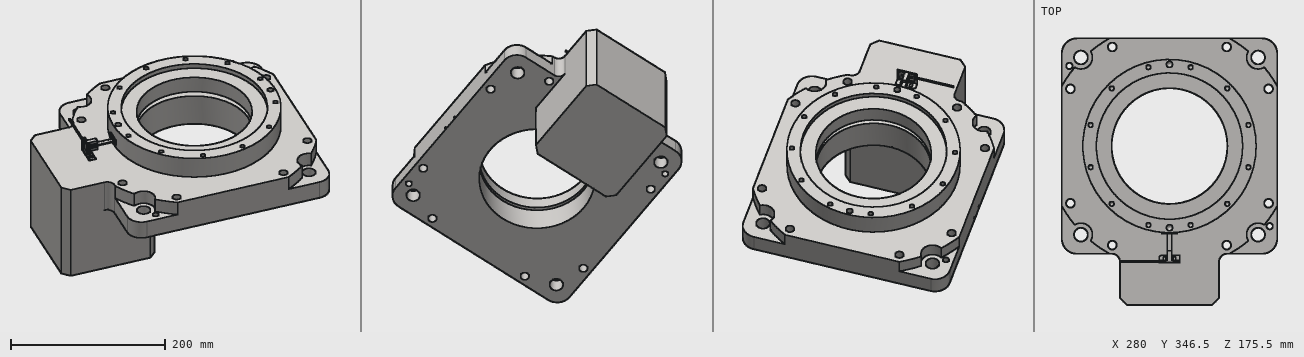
import cadquery as cq
import math


plate_size = 280.0
plate_thickness = 45.0
plate_corner_radius = 20.0
bore_diameter = 150.0

motor_width = 129.0
motor_length = 130.0
motor_front_y = -206.5
motor_height = 138.5
motor_chamfer = 9.5
neck_fillet = 10.0

corner_hole_offset = 115.0
corner_hole_diameter = 17.5
corner_pocket_radius = 15.0
corner_step_radius = 160.0
corner_step_depth = 19.5

mount_circle_radius = 148.5
mount_hole_diameter = 11.0
mount_hole_angle = 30.0
dowel_x = 130.0
dowel_y = 104.0
dowel_diameter = 8.0

side_hole_diameter = 2.0
side_hole_depth = 8.0
side_hole_spacing = 20.0
side_hole_height = 5.0

rotor_gap = 7.0
rotor_diameter = 225.0
rotor_height = 30.0
rotor_recess_diameter = 190.0
rotor_recess_depth = 7.0
rotor_hole_circle_radius = 106.0
rotor_hole_count = 12
rotor_hole_diameter = 6.0
rotor_hole_depth = 12.0
rotor_dowel_diameter = 8.0
rotor_dowel_depth = 10.0
drill_tip_angle = 118.0

flag_thickness = 1.5
flag_width = 20.0
flag_plate_height = 7.0
flag_length = 30.0
flag_drop = 0.5
flag_tongue_width = 6.0
flag_hole_spacing = 13.0
flag_hole_diameter = 3.4

sensor_height = 14.0
sensor_bottom_gap = 7.0
sensor_length = 14.8
sensor_arm_width = 6.0
sensor_arm_thickness = 4.0
sensor_slot_depth = 9.0
sensor_flange_width = 20.0
sensor_flange_thickness = 2.2
sensor_hole_diameter = 3.0
sensor_tab_length = 1.2
sensor_tab_height = 9.0
cable_gland_length = 2.0
cable_gland_height = 5.0
cable_diameter = 2.0
cable_end_x = -63.0

bracket_front_y = -151.5
bracket_thickness = 0.8
bracket_width = 27.0
bracket_height = 20.0
bracket_foot_depth = 9.5
bracket_corner_radius = 3.0
bracket_slot_spacing = 12.6
bracket_slot_width = 3.4
bracket_slot_length = 12.5
bracket_slot_height = 12.2
foot_slot_width = 3.4
foot_slot_length = 6.0

plate_half = plate_size / 2
plate_top = plate_thickness
rotor_bottom = plate_top + rotor_gap
rotor_top = rotor_bottom + rotor_height
rotor_radius = rotor_diameter / 2
bracket_back_y = bracket_front_y + bracket_thickness
sensor_bottom = plate_top + sensor_bottom_gap
sensor_middle = sensor_bottom + sensor_height / 2


def box(x_min, x_max, y_min, y_max, z_min, z_max):
    """Axis-aligned block between two corners."""
    size = (x_max - x_min, y_max - y_min, z_max - z_min)
    return cq.Workplane("XY").box(*size, centered=False).translate((x_min, y_min, z_min))


def cylinder(diameter, z_min, z_max, x=0.0, y=0.0):
    """Upright cylinder."""
    return cq.Workplane("XY", origin=(x, y, z_min)).circle(diameter / 2).extrude(z_max - z_min)


def blind_hole(diameter, depth, z_top, x, y):
    """Drilled hole from z_top down, with a conical drill tip below its full-diameter depth."""
    radius = diameter / 2
    tip = radius / math.tan(math.radians(drill_tip_angle / 2))
    profile = [(0, 0), (radius, 0), (radius, -depth), (0, -depth - tip)]
    hole = cq.Workplane("XZ").polyline(profile).close().revolve(360, (0, 0), (0, 1))
    return hole.translate((x, y, z_top))


def on_circle(radius, angle):
    """X and Y of a point on a circle about the rotation axis, angle in degrees."""
    return radius * math.cos(math.radians(angle)), radius * math.sin(math.radians(angle))


def make_motor_block():
    """Chamfered box below the plate that also reaches up to the plate's top face."""
    block = box(
        -motor_width / 2, motor_width / 2,
        motor_front_y, motor_front_y + motor_length,
        plate_top - motor_height, plate_top,
    )
    return block.edges("|Z").chamfer(motor_chamfer)


def make_neck_fillet(side):
    """Concave fillet between the plate's front face and a flank of the motor block."""
    flank_x = side * motor_width / 2
    outer_x = flank_x + side * neck_fillet
    inset = neck_fillet * (1 - math.sqrt(0.5))
    return (
        cq.Workplane("XY")
        .moveTo(flank_x, -plate_half)
        .lineTo(outer_x, -plate_half)
        .threePointArc(
            (flank_x + side * inset, -plate_half - inset),
            (flank_x, -plate_half - neck_fillet),
        )
        .close()
        .extrude(plate_thickness)
    )


def make_corner_steps():
    """Material removed above the four corner lugs."""
    step_floor = plate_top - corner_step_depth
    steps = box(-plate_half, plate_half, -plate_half, plate_half, step_floor, plate_top)
    steps = steps.cut(cylinder(2 * corner_step_radius, step_floor, plate_top))
    for x_side in (-1, 1):
        for y_side in (-1, 1):
            steps = steps.union(cylinder(
                2 * corner_pocket_radius, step_floor, plate_top,
                x_side * corner_hole_offset, y_side * corner_hole_offset,
            ))
    return steps


def make_housing():
    plate = box(-plate_half, plate_half, -plate_half, plate_half, 0, plate_top)
    body = plate.edges("|Z").fillet(plate_corner_radius).cut(make_corner_steps())
    body = body.union(make_motor_block())
    for side in (-1, 1):
        body = body.union(make_neck_fillet(side))
    body = body.cut(cylinder(bore_diameter, 0, plate_top))

    for x_side in (-1, 1):
        for y_side in (-1, 1):
            x = x_side * corner_hole_offset
            y = y_side * corner_hole_offset
            body = body.cut(cylinder(corner_hole_diameter, 0, plate_top, x, y))

    for quadrant in range(4):
        for angle in (mount_hole_angle, 90 - mount_hole_angle):
            x, y = on_circle(mount_circle_radius, 90 * quadrant + angle)
            body = body.cut(cylinder(mount_hole_diameter, 0, plate_top, x, y))

    for side in (-1, 1):
        body = body.cut(cylinder(dowel_diameter, 0, plate_top, side * dowel_x, -side * dowel_y))

    for side in (-1, 1):
        y = side * side_hole_spacing / 2
        hole = cq.Workplane("YZ", origin=(-plate_half, y, side_hole_height))
        body = body.cut(hole.circle(side_hole_diameter / 2).extrude(side_hole_depth))
    return body


def make_rotor():
    body = cylinder(rotor_diameter, rotor_bottom, rotor_top)
    body = body.cut(cylinder(bore_diameter, rotor_bottom, rotor_top))
    body = body.cut(cylinder(rotor_recess_diameter, rotor_top - rotor_recess_depth, rotor_top))
    pitch = 360 / rotor_hole_count
    for index in range(rotor_hole_count):
        x, y = on_circle(rotor_hole_circle_radius, pitch * (index + 0.5))
        body = body.cut(blind_hole(rotor_hole_diameter, rotor_hole_depth, rotor_top, x, y))
    for side in (-1, 1):
        y = side * rotor_hole_circle_radius
        body = body.cut(blind_hole(rotor_dowel_diameter, rotor_dowel_depth, rotor_top, 0, y))
    return body


def make_flag():
    """Bent sheet: a plate against the rotor's rim and a tongue reaching into the sensor's slot."""
    back_y = -rotor_radius
    tongue_bottom = sensor_middle - flag_drop - flag_thickness / 2
    plate = box(
        -flag_width / 2, flag_width / 2, back_y - flag_thickness, back_y,
        tongue_bottom, tongue_bottom + flag_plate_height,
    )
    tongue = box(
        -flag_tongue_width / 2, flag_tongue_width / 2, back_y - flag_length, back_y,
        tongue_bottom, tongue_bottom + flag_thickness,
    )
    body = plate.union(tongue)
    for side in (-1, 1):
        centre = (side * flag_hole_spacing / 2, back_y, tongue_bottom + flag_plate_height / 2)
        hole = cq.Workplane("XZ", origin=centre).circle(flag_hole_diameter / 2).extrude(flag_thickness)
        body = body.cut(hole)
    return body


def make_bracket():
    """Angle sheet on the plate; the corners on its -X end are rounded."""
    half = bracket_width / 2
    foot = box(
        -half, half, bracket_front_y, bracket_front_y + bracket_foot_depth,
        plate_top, plate_top + bracket_thickness,
    )
    foot = foot.edges("|Z and <X and >Y").fillet(bracket_corner_radius)
    upright = box(
        -half, half, bracket_front_y, bracket_back_y, plate_top, plate_top + bracket_height,
    )
    upright = upright.edges("|Y and <X and >Z").fillet(bracket_corner_radius)
    body = foot.union(upright)
    foot_middle_y = (bracket_back_y + bracket_front_y + bracket_foot_depth) / 2
    for side in (-1, 1):
        x = side * bracket_slot_spacing / 2
        slot = (
            cq.Workplane("XZ", origin=(x, bracket_back_y, plate_top + bracket_slot_height))
            .slot2D(bracket_slot_length, bracket_slot_width, 90)
            .extrude(bracket_thickness)
        )
        foot_slot = (
            cq.Workplane("XY", origin=(x, foot_middle_y, plate_top))
            .slot2D(foot_slot_length, foot_slot_width, 90)
            .extrude(bracket_thickness)
        )
        body = body.cut(slot).cut(foot_slot)
    return body


def make_sensor():
    """Fork-shaped light barrier with a mounting flange, an end tab and a cable leaving toward -X."""
    sensor_top = sensor_bottom + sensor_height
    half_arm = sensor_arm_width / 2
    tip_y = bracket_back_y + sensor_length
    fork = box(-half_arm, half_arm, bracket_back_y, tip_y, sensor_bottom, sensor_top)
    slot = box(
        -half_arm, half_arm, tip_y - sensor_slot_depth, tip_y,
        sensor_bottom + sensor_arm_thickness, sensor_top - sensor_arm_thickness,
    )
    half_flange = sensor_flange_width / 2
    flange_front_y = bracket_back_y + sensor_flange_thickness
    flange = box(-half_flange, half_flange, bracket_back_y, flange_front_y, sensor_bottom, sensor_top)
    tab = box(
        half_flange, half_flange + sensor_tab_length, bracket_back_y, flange_front_y,
        sensor_middle - sensor_tab_height / 2, sensor_middle + sensor_tab_height / 2,
    )
    gland_start_x = -half_flange - cable_gland_length
    gland = box(
        gland_start_x, -half_flange, bracket_back_y, flange_front_y,
        sensor_middle - cable_gland_height / 2, sensor_middle + cable_gland_height / 2,
    )
    cable_y = bracket_back_y + sensor_flange_thickness / 2
    cable = (
        cq.Workplane("YZ", origin=(cable_end_x, cable_y, sensor_middle))
        .circle(cable_diameter / 2)
        .extrude(gland_start_x - cable_end_x)
    )
    body = fork.cut(slot).union(flange).union(tab).union(gland).union(cable)
    for side in (-1, 1):
        centre = (side * bracket_slot_spacing / 2, flange_front_y, sensor_middle)
        hole = cq.Workplane("XZ", origin=centre).circle(sensor_hole_diameter / 2)
        body = body.cut(hole.extrude(sensor_flange_thickness))
    return body


housing = make_housing()
rotor = make_rotor()
flag = make_flag()
bracket = make_bracket()
sensor = make_sensor()

result = cq.Compound.makeCompound([
    housing.val(),
    rotor.val(),
    flag.val(),
    bracket.val(),
    sensor.val(),
])